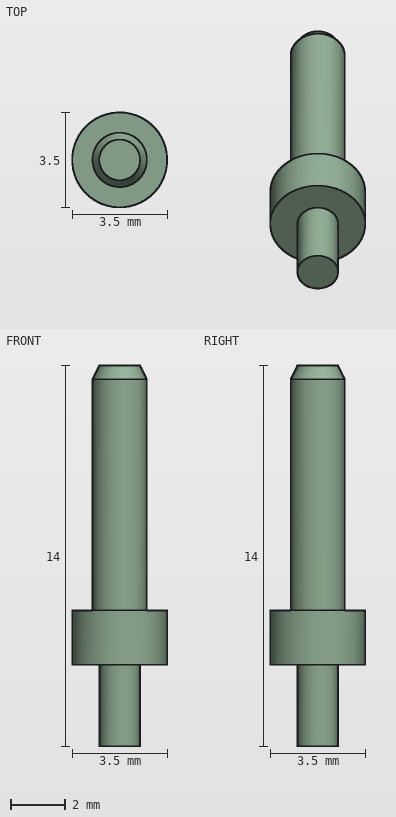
import cadquery as cq

total_height = 14.0
tail_height = 3.0
collar_height = 2.0
tip_height = 0.5
shaft_height = total_height - tail_height - collar_height - tip_height

tail_diameter = 1.5
collar_diameter = 3.5
shaft_diameter = 2.0
tip_end_diameter = tail_diameter

collar_base = tail_height
shaft_base = collar_base + collar_height
tip_base = shaft_base + shaft_height


def make_cylinder(diameter, height, base):
    """Upright cylinder on the Z axis, standing at the given level."""
    return cq.Workplane("XY").workplane(offset=base).circle(diameter / 2).extrude(height)


def make_tail():
    """Thin pin below the collar."""
    return make_cylinder(tail_diameter, tail_height, 0)


def make_collar():
    """Wide disc between the tail and the shaft."""
    return make_cylinder(collar_diameter, collar_height, collar_base)


def make_shaft():
    """Long contact pin above the collar."""
    return make_cylinder(shaft_diameter, shaft_height, shaft_base)


def make_tip():
    """Tapered lead-in, as wide as the shaft at its base."""
    profile = [
        (0, tip_base),
        (shaft_diameter / 2, tip_base),
        (tip_end_diameter / 2, total_height),
        (0, total_height),
    ]
    return cq.Workplane("XZ").polyline(profile).close().revolve(360, (0, 0), (0, 1))


tail = make_tail()
collar = make_collar()
shaft = make_shaft()
tip = make_tip()

result = cq.Compound.makeCompound([tail.val(), collar.val(), shaft.val(), tip.val()])